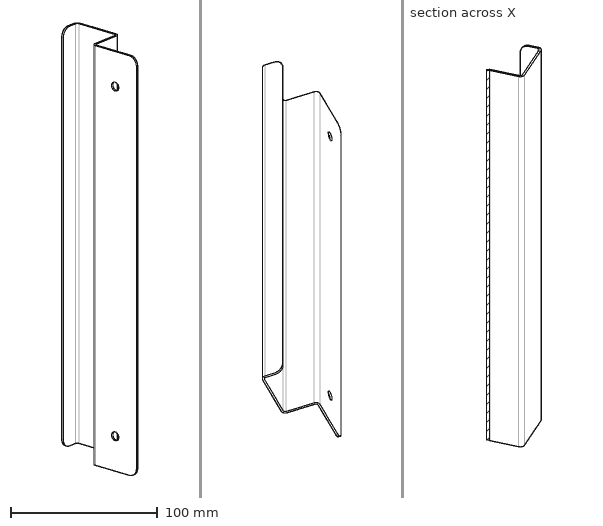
import cadquery as cq

thickness = 1.52
inner_bend = 1.52
outer_bend = inner_bend + thickness

length = 304.8
width = 76.2
step_depth = 25.4
depth = step_depth + thickness
lip_depth = 15.875
rear_flange_width = width / 2

corner_radius = 6.35
hole_diameter = 6.35
hole_edge_distance = 19.05
hole_spacing = 254.0


def slab(x_min, x_max, y_min, y_max):
    """Full-length rectangular plate, centred on Z = 0."""
    return (
        cq.Workplane("XY")
        .box(x_max - x_min, y_max - y_min, length, centered=(False, False, True))
        .translate((x_min, y_min, 0))
    )


def bent_sheet():
    """Z-shaped section with a return lip: lip, rear flange, web, front flange."""
    web_left = rear_flange_width - thickness
    web_right = rear_flange_width
    lip = slab(0, thickness, depth - lip_depth, depth)
    rear_flange = slab(0, web_right, depth - thickness, depth)
    web = slab(web_left, web_right, 0, depth)
    front_flange = slab(web_left, width, 0, thickness)
    sheet = lip.union(rear_flange).union(web).union(front_flange)

    outer_corners = [(0, depth), (web_right, depth), (web_left, 0)]
    inner_corners = [
        (thickness, depth - thickness),
        (web_left, depth - thickness),
        (web_right, thickness),
    ]
    for corners, radius in ((outer_corners, outer_bend), (inner_corners, inner_bend)):
        for x, y in corners:
            edge = sheet.edges("|Z").edges(cq.selectors.NearestToPointSelector((x, y, 0)))
            sheet = edge.fillet(radius)
    return sheet


def round_free_corners(sheet):
    """Round the end corners of the front flange and of the lip."""
    sheet = sheet.faces(">X").edges("|Y").fillet(corner_radius)
    lip_edge_y = depth - lip_depth
    lip_ends = [(thickness / 2, lip_edge_y, side * length / 2) for side in (-1, 1)]
    for point in lip_ends:
        sheet = sheet.edges("|X").edges(cq.selectors.NearestToPointSelector(point)).fillet(corner_radius)
    return sheet


def mounting_holes():
    """Through holes near both ends of the front flange."""
    hole_x = width - hole_edge_distance
    return (
        cq.Workplane("XZ")
        .pushPoints([(hole_x, side * hole_spacing / 2) for side in (-1, 1)])
        .circle(hole_diameter / 2)
        .extrude(-thickness)
    )


result = round_free_corners(bent_sheet()).cut(mounting_holes())